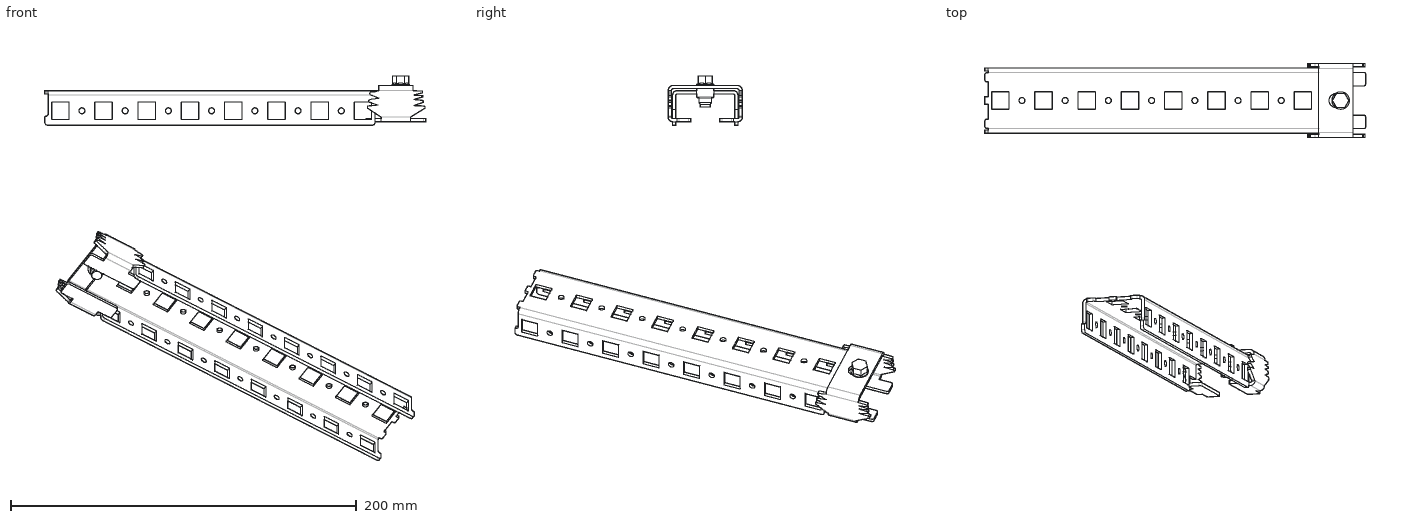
import cadquery as cq
import math

sheet = 2.0

rail_width = 38.0
rail_height = 20.0
rail_bend = 2.6
rail_length = 202.2
rail_lower_length = 191.2
end_step = 2.0
window = 10.0
small_hole_diameter = 3.3
first_window_x = 9.0
last_window_x = 184.1
window_count = 8
leg_hole_z = 8.4
foot_height = 5.3
foot_tip_radius = 0.7
leg_corner_radius = 1.8
right_step_z = 9.3
tab_width = 5.3
tab_y = 13.5
tab_corner_radius = 1.0
middle_tab_width = 4.5

bracket_right_end = 220.5
lip_tab_length = 34.6
bracket_width = 43.0
bracket_top = 23.2
bracket_bottom = 2.03
bracket_bend = 3.0
lip_bend = 2.6
bracket_length = 19.8
neck_half = 8.5
lip_inner_y = 8.4
lip_tab_width = 8.0
lip_tab_corner = 1.21
slot_radius = 4.0

screw_x = 206.0
hex_corner_diameter = 9.5
hex_sides = 6
hex_top = 28.7
flange_diameter = 10.1
flange_rim_height = 0.5
flange_height = 1.3
shank_diameter = 7.3
shank_bottom = 13.2
tip_diameter = 6.0
taper_bottom = 12.0
screw_bottom = 10.5

nut_diameter = 10.0
nut_bottom = 15.9
nut_edge_radius = 0.7

lower_bend_top = bracket_bottom + lip_bend
lip_tab_half = lip_tab_length / 2
bracket_x = bracket_right_end - lip_tab_half
pitch = (last_window_x - first_window_x) / (window_count - 1)
bracket_underside = bracket_top - sheet
slot_travel = screw_x - bracket_x


def box(x_range, y_range, z_range):
    """Axis-aligned block spanning the given ranges."""
    sizes = [end - start for start, end in (x_range, y_range, z_range)]
    return cq.Workplane("XY").box(*sizes, centered=False).translate(
        (x_range[0], y_range[0], z_range[0]))


def rail_channel():
    """Bent channel, long enough for the end outline to be cut from it."""
    def filled(width, height, radius):
        return (cq.Workplane("YZ").rect(width, 2 * height).extrude(rail_length)
                .edges("|X").fillet(radius))

    outer = filled(rail_width, rail_height, rail_bend)
    inner = filled(rail_width - 2 * sheet, rail_height - sheet, rail_bend - sheet)
    above_ground = box((0, rail_length), (-rail_width, rail_width), (0, rail_height))
    return outer.cut(inner).intersect(above_ground)


def leg_outline():
    """Side outline of the legs and bends, extruded across the rail."""
    root_radius = end_step - foot_tip_radius
    left_x = end_step
    right_x = rail_lower_length
    corner = leg_corner_radius
    return (
        cq.Workplane("XZ")
        .moveTo(corner, 0)
        .lineTo(right_x - corner, 0)
        .radiusArc((right_x, corner), -corner)
        .lineTo(right_x, right_step_z)
        .lineTo(rail_length, right_step_z)
        .lineTo(rail_length, rail_height)
        .lineTo(left_x, rail_height)
        .lineTo(left_x, foot_height + root_radius)
        .radiusArc((foot_tip_radius, foot_height), root_radius)
        .radiusArc((0, foot_height - foot_tip_radius), -foot_tip_radius)
        .lineTo(0, corner)
        .radiusArc((corner, 0), -corner)
        .close()
        .extrude(rail_width / 2, both=True)
    )


def web_tab(y, width):
    """Tab standing out from the left end of the web."""
    return box((0, end_step), (y - width / 2, y + width / 2), (rail_height - sheet, rail_height))


def cut_web_and_legs(rail, web_sketch, leg_sketch):
    """Cut one row of openings through the web and a matching row through both legs."""
    return (rail.cut(web_sketch.extrude(rail_height))
            .cut(leg_sketch.extrude(rail_width / 2, both=True)))


def perforate(rail):
    """Square windows at every pitch with a small round hole midway between neighbours."""
    window_places = [(first_window_x + i * pitch, 0) for i in range(window_count)]
    hole_places = [(x + pitch / 2, 0) for x, _ in window_places[:-1]]
    web = cq.Workplane("XY")
    legs = cq.Workplane("XZ", origin=(0, 0, leg_hole_z))
    rail = cut_web_and_legs(rail, web.pushPoints(window_places).rect(window, window),
                            legs.pushPoints(window_places).rect(window, window))
    return cut_web_and_legs(rail, web.pushPoints(hole_places).circle(small_hole_diameter / 2),
                            legs.pushPoints(hole_places).circle(small_hole_diameter / 2))


def make_rail():
    rail = rail_channel().intersect(leg_outline())
    for y in (-tab_y, tab_y):
        rail = rail.union(web_tab(y, tab_width).edges("|Z and <X").fillet(tab_corner_radius))
    rail = rail.union(web_tab(0, middle_tab_width))
    rail = perforate(rail)
    nut_recess = cq.Workplane("XY").center(screw_x, 0).circle(nut_diameter / 2).extrude(rail_height)
    return rail.cut(nut_recess)


def bracket_section():
    """Bent C section of the bracket, extruded along the rail."""
    def filled(inset):
        height = bracket_top - bracket_bottom - 2 * inset
        middle_z = (bracket_top + bracket_bottom) / 2
        return (cq.Workplane("YZ").center(0, middle_z).rect(bracket_width - 2 * inset, height)
                .extrude(lip_tab_half, both=True)
                .edges("|X and >Z").fillet(bracket_bend - inset)
                .edges("|X and <Z").fillet(lip_bend - inset))

    opening = box((-lip_tab_half, lip_tab_half), (-lip_inner_y, lip_inner_y),
                  (0, bracket_bottom + 2 * sheet))
    return filled(0).cut(filled(sheet)).cut(opening)


def claw_outline():
    """Side outline of the bracket with its teeth, extruded across the bracket."""
    top_half = bracket_length / 2
    right_teeth = [
        (9.5, 5.3),
        (17.0, 10.0), (17.0, 10.8), (16.0, 11.2), (10.5, 11.5),
        (15.9, 13.2), (15.9, 14.1), (15.0, 14.5), (10.5, 15.0),
        (15.7, 16.3), (15.7, 17.2), (10.4, 17.5),
        (15.5, 18.7), (15.5, 19.8), (top_half, 20.0),
    ]
    left_teeth = [
        (-top_half, 20.0),
        (-12.1, 19.5), (-14.8, 19.2), (-15.2, 18.5), (-14.8, 17.6), (-9.7, 15.7),
        (-14.8, 15.0), (-15.9, 14.3), (-15.9, 13.5), (-10.4, 11.7),
        (-16.0, 11.2), (-16.5, 10.8), (-16.5, 10.0),
        (-9.5, 5.3),
    ]
    points = [(-neck_half, bracket_bottom), (neck_half, bracket_bottom), (neck_half, lower_bend_top)]
    points += right_teeth
    points += [(top_half, bracket_top), (-top_half, bracket_top)]
    points += left_teeth
    points += [(-neck_half, lower_bend_top)]
    return cq.Workplane("XZ").polyline(points).close().extrude(bracket_width / 2, both=True)


def lip_tab(side):
    """Long inward lip with rounded corners; side is +1 or -1 in Y."""
    middle_y = side * (lip_inner_y + lip_tab_width / 2)
    return (cq.Workplane("XY").workplane(offset=bracket_bottom).center(0, middle_y)
            .rect(2 * lip_tab_half, lip_tab_width).extrude(sheet)
            .edges("|Z").fillet(lip_tab_corner))


def bracket_slot():
    """Oblong cutter through the top plate, from the bracket centre to the screw axis."""
    middle_x = bracket_x + slot_travel / 2
    return (cq.Workplane("XY").workplane(offset=bracket_underside).center(middle_x, 0)
            .slot2D(slot_travel + 2 * slot_radius, 2 * slot_radius).extrude(sheet))


def make_bracket():
    bracket = bracket_section().intersect(claw_outline())
    for side in (-1, 1):
        bracket = bracket.union(lip_tab(side))
    bracket = bracket.translate((bracket_x, 0, 0))
    return bracket.cut(bracket_slot())


def make_screw():
    flange_top = bracket_top + flange_height
    neck_radius = hex_corner_diameter * math.cos(math.pi / hex_sides) / 2
    turned_profile = [
        (0, screw_bottom),
        (tip_diameter / 2, screw_bottom),
        (tip_diameter / 2, taper_bottom),
        (shank_diameter / 2, shank_bottom),
        (shank_diameter / 2, bracket_top),
        (flange_diameter / 2, bracket_top),
        (flange_diameter / 2, bracket_top + flange_rim_height),
        (neck_radius, flange_top),
        (0, flange_top),
    ]
    turned = cq.Workplane("XZ").polyline(turned_profile).close().revolve(360, (0, 0), (0, 1))
    head = (cq.Workplane("XY").workplane(offset=bracket_top + flange_height / 2)
            .polygon(hex_sides, hex_corner_diameter).extrude(hex_top - bracket_top - flange_height / 2))
    return turned.union(head).translate((screw_x, 0, 0))


def make_nut():
    height = bracket_underside - nut_bottom
    nut = (cq.Workplane("XY").workplane(offset=nut_bottom).center(screw_x, 0)
           .circle(nut_diameter / 2).extrude(height)
           .faces("<Z").edges().fillet(nut_edge_radius))
    return nut.faces(">Z").workplane(origin=(screw_x, 0, 0)).hole(shank_diameter)


rail = make_rail()
bracket = make_bracket()
screw = make_screw()
nut = make_nut()

bodies = [rail, bracket, screw, nut]
result = cq.Compound.makeCompound([body.solids().val() for body in bodies])